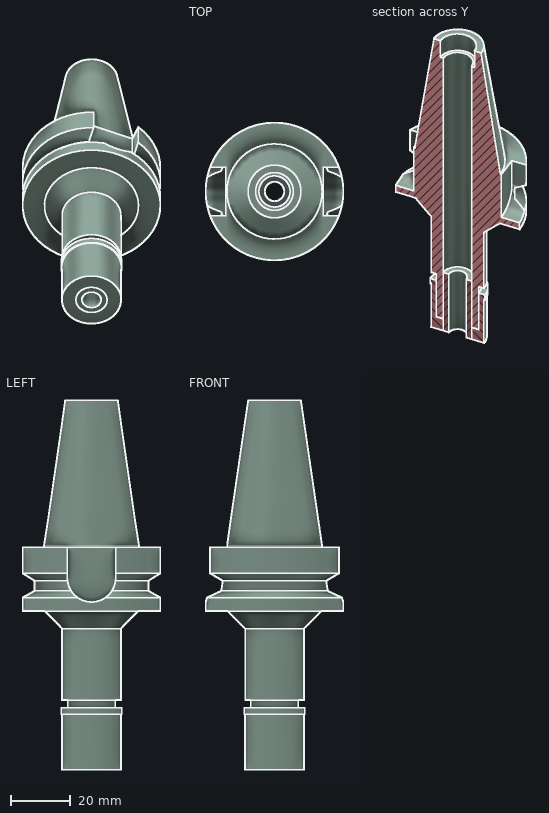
import cadquery as cq


gauge_diameter = 31.75
taper_ratio = 7 / 24
taper_length = 48.4
taper_end_diameter = gauge_diameter - taper_ratio * taper_length

flange_diameter = 46.0
flange_top = -0.7
flange_bottom = -22.0
groove_diameter = 38.2
groove_upper_edge = -9.4
groove_upper_root = -11.9
groove_lower_root = -15.3
groove_lower_edge = -17.5

slot_width = 16.1
slot_floor_distance = 16.3
slot_bottom = -19.0
slot_arc_center = slot_bottom + slot_width / 2

cone_diameter = 31.4
neck_diameter = 19.7
neck_top = flange_bottom - (cone_diameter - neck_diameter) / 2
neck_bottom = -51.7
nose_diameter = 16.0

counterbore_diameter = 12.6
counterbore_depth = 7.0
bore_diameter = 10.4

nut_diameter = 19.8
nut_top = -54.2
nut_bottom = -75.0
collar_diameter = 20.3
collar_height = 2.3
nut_lip = 5.0
nose_bottom = nut_bottom + nut_lip

collet_hole_diameter = 6.4
collet_length = 25.0


def rod(diameter, bottom, top):
    """Cylinder on the Z axis between two heights."""
    return cq.Workplane("XY").workplane(offset=bottom).circle(diameter / 2).extrude(top - bottom)


def holder_blank():
    """Turned outline of the holder as (diameter, height) pairs, from the taper down to the nose."""
    outline = [
        (taper_end_diameter, taper_length),
        (gauge_diameter, 0),
        (gauge_diameter, flange_top),
        (flange_diameter, flange_top),
        (flange_diameter, groove_upper_edge),
        (groove_diameter, groove_upper_root),
        (groove_diameter, groove_lower_root),
        (flange_diameter, groove_lower_edge),
        (flange_diameter, flange_bottom),
        (cone_diameter, flange_bottom),
        (neck_diameter, neck_top),
        (neck_diameter, neck_bottom),
        (nose_diameter, neck_bottom),
        (nose_diameter, nose_bottom),
    ]
    profile = [(diameter / 2, height) for diameter, height in outline]
    return (
        cq.Workplane("XZ")
        .moveTo(0, taper_length)
        .polyline(profile, includeCurrent=True)
        .lineTo(0, nose_bottom)
        .close()
        .revolve(360, (0, 0, 0), (0, 1, 0))
    )


def drive_slot(side):
    """Cutter for the drive slot on the +X (side = 1) or -X (side = -1) edge of the flange."""
    half_width = slot_width / 2
    slot_depth = flange_diameter / 2 - slot_floor_distance
    return (
        cq.Workplane("YZ")
        .workplane(offset=side * slot_floor_distance)
        .moveTo(-half_width, flange_top)
        .lineTo(-half_width, slot_arc_center)
        .threePointArc((0, slot_bottom), (half_width, slot_arc_center))
        .lineTo(half_width, flange_top)
        .close()
        .extrude(side * slot_depth)
    )


def make_holder():
    body = holder_blank()
    for side in (-1, 1):
        body = body.cut(drive_slot(side))
    body = body.cut(rod(counterbore_diameter, taper_length - counterbore_depth, taper_length))
    return body.cut(rod(bore_diameter, nose_bottom, taper_length))


def make_nut():
    """Nut with a thin collar at its rear; it takes the nose and closes around the collet."""
    body = rod(nut_diameter, nut_bottom, nut_top)
    body = body.union(rod(collar_diameter, nut_top - collar_height, nut_top))
    body = body.cut(rod(nose_diameter, nose_bottom, nut_top))
    return body.cut(rod(bore_diameter, nut_bottom, nose_bottom))


def make_collet():
    """Sleeve that fills the front of the bore, flush with the nut's front face."""
    collet_top = nut_bottom + collet_length
    body = rod(bore_diameter, nut_bottom, collet_top)
    return body.cut(rod(collet_hole_diameter, nut_bottom, collet_top))


holder = make_holder()
nut = make_nut()
collet = make_collet()

result = cq.Compound.makeCompound([holder.val(), nut.val(), collet.val()])